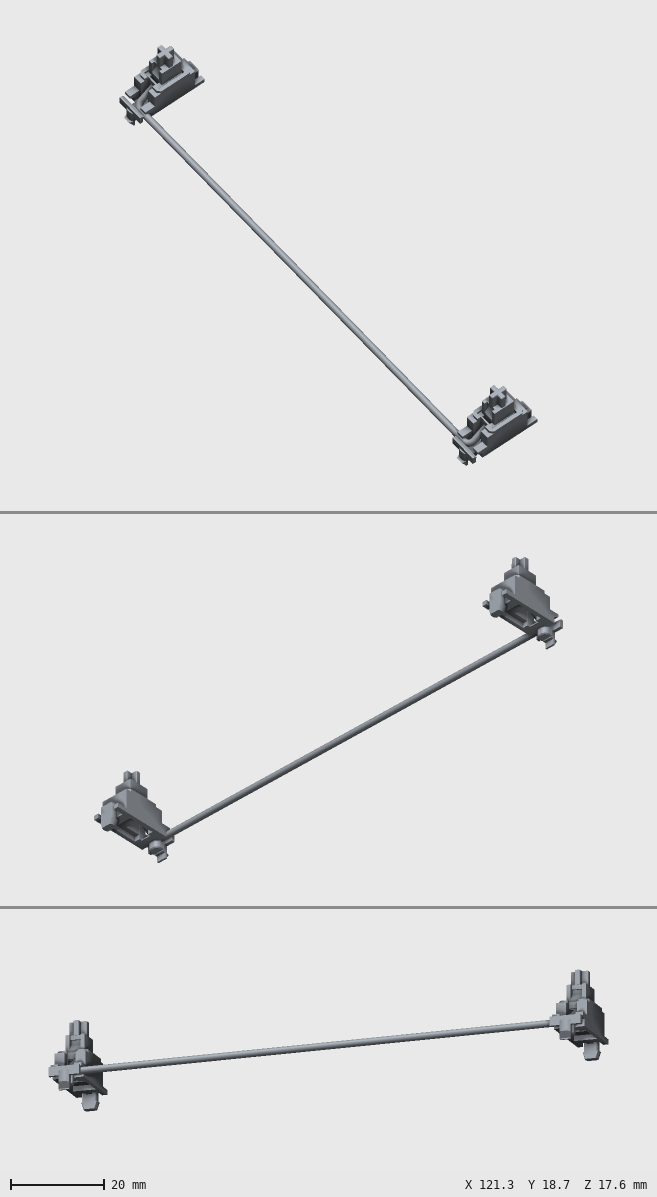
import cadquery as cq
import math


overall_length = 121.3
housing_width = 7.0
stabilizer_spacing = overall_length - housing_width
total_height = 17.6
total_depth = 18.7

base_z = 3.3
shoulder_z = 9.5
lid_z = 10.2
shell_front_y = 5.0
shell_back_y = 16.0
lid_front_y = 6.1
lid_back_y = 15.3
lid_corner = 0.7

cavity_width = 5.2
cavity_front_y = 6.9
cavity_back_y = 13.8
slot_width = 2.5

cheek_width = 1.7
cheek_top_z = 6.2
cheek_tip_y = 2.4
cheek_root_y = 3.6
cheek_mouth_z = 4.9
cheek_nose_height = 0.7
floor_thickness = 0.2
floor_back_y = 6.2

plate_y = 1.0
plate_thickness = 0.8
plate_top_z = 5.3
plate_ridge_y = 1.3
lip_tip_y = 2.1
lip_tip_z = 5.0
lip_root_z = 4.6
peg_width = 3.0
peg_front_y = 2.2
peg_back_y = 4.4
peg_corner_radius = 1.2
peg_bottom_z = 1.5
peg_chamfer = 0.2
hook_width = 2.4
hook_thickness = 0.5
hook_top_z = 4.4
hook_bulge = 0.4
barb_z = 1.6
barb_bottom_z = 0.2
barb_tip_width = 1.7

ear_width = 1.2
ear_top_z = 4.4
post_front_y = 16.9
post_mid_y = (post_front_y + total_depth) / 2
post_top_z = 5.6
post_diameter = 3.4
post_rim_diameter = 3.9
post_foot_diameter = 2.9
rib_width = 1.3
rib_top_z = 6.5
rib_end_y = 18.4

stem_width = 4.4
stem_front_y = 8.0
stem_back_y = 13.3
stem_bottom_z = 4.4
stem_top_z = 14.2
stem_slot_back_y = 10.9
stem_slot_top_z = 8.5
window_width = 2.5
window_sill_z = 10.9
window_ramp_z = 12.3
window_ledge_z = 13.2
window_back_y = 8.7
window_pocket_y = 9.2
skirt_width = 4.9
skirt_front_y = 7.0
skirt_back_y = 13.6
skirt_top_z = 10.0
skirt_corner = 0.4
skirt_bar_thickness = 0.4
cross_y = (stem_front_y + stem_back_y) / 2
cross_length = 4.0
cross_thickness = 1.2
cross_chamfer = 0.1

wire_diameter = 1.6
wire_y = 2.8
wire_z = 4.4
wire_tilt = 33.0
wire_bend_radius = 1.7
wire_arm_length = 6.5


def block(width, y_front, y_back, z_bottom, z_top):
    """Box centred on X = 0 between the given Y and Z limits."""
    return (
        cq.Workplane("XY", origin=(0, (y_front + y_back) / 2, z_bottom))
        .rect(width, y_back - y_front)
        .extrude(z_top - z_bottom)
    )


def side_profile(points, width, x_center=0.0):
    """Extrude a (Y, Z) outline along X, centred on x_center."""
    return (
        cq.Workplane("YZ", origin=(x_center, 0, 0))
        .polyline(points).close()
        .extrude(width / 2, both=True)
    )


def upright_cone(y, z_bottom, z_top, bottom_diameter, top_diameter):
    """Vertical cone frustum on the X = 0 plane."""
    return cq.Workplane(
        cq.Solid.makeCone(
            bottom_diameter / 2, top_diameter / 2, z_top - z_bottom, pnt=cq.Vector(0, y, z_bottom)
        )
    )


def make_shell():
    """Solid main block under a raised lid with cut corners."""
    body = block(housing_width, shell_front_y, shell_back_y, base_z, shoulder_z)
    lid = (
        block(housing_width, lid_front_y, lid_back_y, shoulder_z, lid_z)
        .edges("|Z")
        .chamfer(lid_corner)
    )
    return body.union(lid)


def make_cheeks():
    """Side walls whose undercut noses hold the wire, joined by a thin floor."""
    outline = [
        (shell_front_y, base_z),
        (cheek_root_y, base_z),
        (cheek_root_y, cheek_mouth_z),
        (cheek_tip_y, cheek_top_z - cheek_nose_height),
        (cheek_tip_y, cheek_top_z),
        (shell_front_y, cheek_top_z),
    ]
    offset = (housing_width - cheek_width) / 2
    floor = block(housing_width, cheek_root_y, floor_back_y, base_z, base_z + floor_thickness)
    left = side_profile(outline, cheek_width, -offset)
    right = side_profile(outline, cheek_width, offset)
    return left.union(right).union(floor)


def make_front_plate():
    """Cross plate with a sloped lip that snaps over the wire."""
    plate_back_y = plate_y + plate_thickness
    outline = [
        (plate_y, base_z),
        (plate_y, plate_top_z),
        (plate_ridge_y, plate_top_z),
        (lip_tip_y, lip_tip_z),
        (plate_back_y, lip_root_z),
        (plate_back_y, base_z),
    ]
    return side_profile(outline, housing_width)


def make_peg():
    """Locating peg with rounded rear corners, tied to the front plate by a narrow neck."""
    peg_top_z = base_z + floor_thickness
    peg = (
        block(peg_width, peg_front_y, peg_back_y, peg_bottom_z, peg_top_z)
        .edges("|Z and >Y")
        .fillet(peg_corner_radius)
        .faces("<Z")
        .chamfer(peg_chamfer)
    )
    neck = block(hook_width, plate_y + hook_thickness, peg_front_y, peg_bottom_z, peg_top_z)
    return peg.union(neck)


def make_hook():
    """Flat tongue with a bowed front and a barb that tapers to the foot."""
    tongue = block(hook_width, plate_y, plate_y + hook_thickness, 0, hook_top_z)
    bow = (
        cq.Workplane("XY", origin=(0, plate_y, barb_z))
        .moveTo(-hook_width / 2, 0)
        .threePointArc((0, -hook_bulge), (hook_width / 2, 0))
        .close()
        .extrude(hook_top_z - barb_z)
    )
    barb = (
        cq.Workplane("XY", origin=(0, 0, barb_bottom_z))
        .moveTo(-hook_width / 2, plate_y)
        .lineTo(-barb_tip_width / 2, 0)
        .lineTo(barb_tip_width / 2, 0)
        .lineTo(hook_width / 2, plate_y)
        .close()
        .extrude(barb_z - barb_bottom_z)
    )
    barb_side = side_profile(
        [(plate_y, barb_z), (0, barb_z), (plate_y, barb_bottom_z)], hook_width
    )
    return tongue.union(bow).union(barb.intersect(barb_side))


def make_rear_clip():
    """Two ears, a barbed post cut flat front and back, and the rib that carries the post."""
    ear_offset = (housing_width - ear_width) / 2
    ears = (
        cq.Workplane("XY", origin=(0, (shell_back_y + total_depth) / 2, base_z))
        .pushPoints([(-ear_offset, 0), (ear_offset, 0)])
        .rect(ear_width, total_depth - shell_back_y)
        .extrude(ear_top_z - base_z)
    )
    post = (
        cq.Workplane("XY", origin=(0, post_mid_y, barb_z))
        .circle(post_diameter / 2)
        .extrude(post_top_z - barb_z)
        .union(upright_cone(post_mid_y, 0, barb_z, post_foot_diameter, post_rim_diameter))
        .intersect(block(housing_width, post_front_y, total_depth, 0, post_top_z))
    )
    rib = side_profile(
        [
            (shell_back_y, base_z),
            (shell_back_y, rib_top_z),
            (rib_end_y, post_top_z),
            (rib_end_y, base_z),
        ],
        rib_width,
    )
    return ears.union(post).union(rib)


def make_housing():
    """Shell hollowed through for the stem and wire, with its front and rear clips."""
    cavity = block(cavity_width, cavity_front_y, cavity_back_y, base_z, lid_z)
    wire_slot = block(slot_width, shell_front_y, cavity_front_y, base_z, lid_z)
    return (
        make_shell()
        .cut(cavity)
        .cut(wire_slot)
        .union(make_cheeks())
        .union(make_front_plate())
        .union(make_peg())
        .union(make_hook())
        .union(make_rear_clip())
    )


def make_cross():
    """Cross-shaped keycap mount with chamfered top and end edges."""
    x_bar = block(
        cross_length,
        cross_y - cross_thickness / 2,
        cross_y + cross_thickness / 2,
        stem_top_z,
        total_height,
    )
    y_bar = block(
        cross_thickness,
        cross_y - cross_length / 2,
        cross_y + cross_length / 2,
        stem_top_z,
        total_height,
    )
    x_bar = x_bar.faces("<X or >X or >Z").edges("not <Z").chamfer(cross_chamfer)
    y_bar = y_bar.faces("<Y or >Y or >Z").edges("not <Z").chamfer(cross_chamfer)
    return x_bar.union(y_bar)


def make_stem():
    """Slider with a wider skirt, a slot and gap around the wire, and a sloped front window."""
    skirt = (
        block(skirt_width, skirt_front_y, skirt_back_y, stem_bottom_z, skirt_top_z)
        .edges("|Z and >Y")
        .chamfer(skirt_corner)
    )
    wire_slot = block(slot_width, skirt_front_y, stem_slot_back_y, stem_bottom_z, stem_slot_top_z)
    gap_behind_bar = block(
        slot_width, skirt_front_y + skirt_bar_thickness, stem_front_y, stem_bottom_z, skirt_top_z
    )
    window = side_profile(
        [
            (stem_front_y, window_sill_z),
            (window_pocket_y, window_ramp_z),
            (window_pocket_y, window_ledge_z),
            (window_back_y, window_ledge_z),
            (window_back_y, stem_top_z),
            (stem_front_y, stem_top_z),
        ],
        window_width,
    )
    return (
        block(stem_width, stem_front_y, stem_back_y, stem_bottom_z, stem_top_z)
        .union(skirt)
        .cut(wire_slot)
        .cut(gap_behind_bar)
        .cut(window)
        .union(make_cross())
    )


def make_wire():
    """Round wire with both arms bent back and up in one tilted plane."""
    half_span = stabilizer_spacing / 2
    bend_start_x = half_span - wire_bend_radius
    corner = wire_bend_radius * (1 - math.sqrt(0.5))
    tilt = math.radians(wire_tilt)
    plane = cq.Plane(
        origin=(0, wire_y, wire_z), xDir=(1, 0, 0), normal=(0, -math.sin(tilt), math.cos(tilt))
    )
    path = (
        cq.Workplane(plane)
        .moveTo(-half_span, wire_arm_length)
        .lineTo(-half_span, wire_bend_radius)
        .threePointArc((-half_span + corner, corner), (-bend_start_x, 0))
        .lineTo(bend_start_x, 0)
        .threePointArc((half_span - corner, corner), (half_span, wire_bend_radius))
        .lineTo(half_span, wire_arm_length)
    )
    arm_direction = cq.Vector(0, math.cos(tilt), math.sin(tilt))
    end_plane = cq.Plane(
        origin=plane.toWorldCoords((-half_span, wire_arm_length)), xDir=(1, 0, 0), normal=arm_direction
    )
    return cq.Workplane(end_plane).circle(wire_diameter / 2).sweep(path)


housing = make_housing().solids().val()
stem = make_stem().solids().val()
bodies = [make_wire().val()]
for side in (-1, 1):
    placement = cq.Vector(side * stabilizer_spacing / 2, 0, 0)
    bodies.append(housing.translate(placement))
    bodies.append(stem.translate(placement))

result = cq.Compound.makeCompound(bodies)